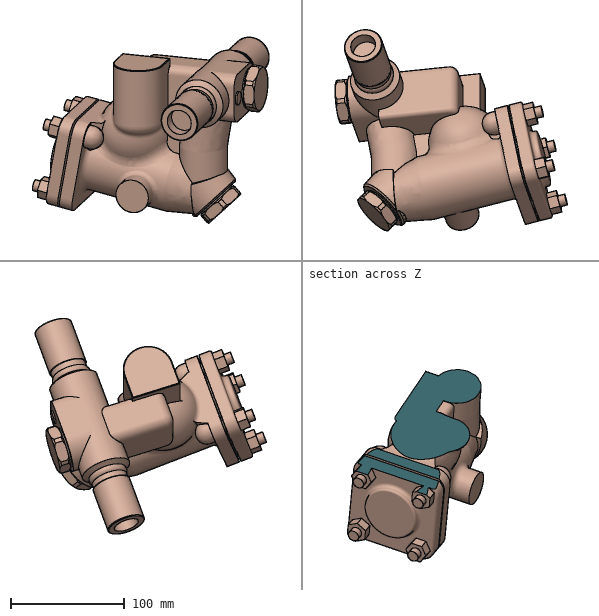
import cadquery as cq
import math

PIPE_END_Y = 100.0
PIPE_DIAMETER = 34.0
PIPE_CHAMFER = 0.7
BORE_DIAMETER = 22.2
BORE_DEPTH = 12.0
HUB_DIAMETER = 44.0
HUB_HALF_LENGTH = 44.5
HUB_CONE_END_Y = 47.7
BEAD_END_Y = 53.5
BEAD_DIAMETER = 34.8
NECK_DIAMETER = 32.0
NECK_END_Y = 59.1

HEX_STEP = 60.0

SAMPLE_POSITION = 0.37
TOUCH_TOLERANCE = 1e-3

SIDE_BOSS_END_X = 26.8
SIDE_BOSS_LOW_Y = -28.0
SIDE_BOSS_CORNER = 10.0
SIDE_PLUG_Y = 12.3
LOCATING_PIN_DIAMETER = 12.0
LOCATING_PIN_Y = -18.7
LOCATING_PIN_HEIGHT = 1.4

PLUG_ACROSS_FLATS = 38.0
PLUG_CORNER_DIAMETER = 41.8
PLUG_HEIGHT = 10.0
PLUG_EDGE = 1.6
WASHER_DIAMETER = 36.0
WASHER_THICKNESS = 1.6

BODY_Y = -8.2
BODY_TILT = 10.0
FLANGE_FACE_X = -135.1
FLANGE_FACE_Z = -67.6
FLANGE_SIZE = 83.0
FLANGE_CORNER = 12.5
FLANGE_THICKNESS = 11.5
FLANGE_ROUND = 2.0
GASKET_DIAMETER = 68.0
GASKET_THICKNESS = 1.7
FLANGE_STACK = 2 * FLANGE_THICKNESS + GASKET_THICKNESS
FLANGE_MIDDLE = FLANGE_STACK - FLANGE_THICKNESS / 2
BODY_DIAMETER = 57.0
BODY_LENGTH = 102.0
BODY_FOOT_ROUND = 5.0

COVER_DIAMETER = 50.0
COVER_HEIGHT = 6.0
COVER_EDGE_ROUND = 2.0
COVER_FOOT_ROUND = 3.2
BOLT_PITCH = 58.0
BOLT_DIAMETER = 10.0
BOLT_LENGTH = 15.3
NUT_ACROSS_FLATS = 17.0
NUT_HEIGHT = 9.0
STUD_BOSS_DIAMETER = 20.5
STUD_BOSS_LENGTH = 4.0
STUD_BOSS_ROUND = 10.05

DOME_X = -70.7
DOME_Z = -42.6
DOME_RADIUS = 32.4
DOME_FOOT_ROUND = 10.0

SHOULDER_LENGTH = 18.0
SHOULDER_END_HALF_WIDTH = 20.0
SHOULDER_ROUND = 4.0

PORT_X = -59.3
PORT_Z = -89.2
PORT_DIAMETER = 30.0
PORT_END_Y = -53.0
PORT_FOOT_ROUND = 4.5

TURRET_X = -62.9
TURRET_Y = -25.0
TURRET_RADIUS = 22.0
TURRET_BACK_Y = -3.0
TURRET_TOP_Z = 25.0
TURRET_BOTTOM_Z = -36.8
TURRET_BOTTOM_ROUND = 9.5
TURRET_FOOT_ROUND = 4.5
TURRET_CHAMFER = 0.7

ARM_LOW_X = -70.0
ARM_HIGH_X = 0.0
ARM_LOW_Y = -8.2
ARM_HIGH_Y = 28.0
ARM_TOP_Z = 18.7
ARM_BOTTOM_Z = -31.0
ARM_ROUND = 8.0
ARM_TOP_ROUND = 7.99
ARM_BOTTOM_ROUND = 4.0
ARM_CORNER_ROUND = 3.0

LEG_X = -8.1
LEG_DIAMETER = 42.4
LEG_BEND_Z = -50.4
ELBOW_Z = -87.5

SEAT_TILT = 45.0
SEAT_LENGTH = 16.2
SEAT_BACK_RADIUS = 26.5
SEAT_OVERLAP = 9.0
SEAT_MITRE_Z = -79.2
SEAT_MITRE_TILT = 17.0
SEAT_SEAM_HEIGHT = 34.0
SEAT_CLIP = 60.0
SEAT_RADIUS = 24.5
SEAT_EDGE = 1.5
ELBOW_NECK_X = -11.0
ELBOW_NECK_Z = -90.0
ELBOW_NECK_RADIUS = 23.4

RIB_HALF_WIDTH = 7.0
RIB_ROUND = 5.0
RIB_BOTTOM_Z = -70.0


def direction_down(tilt):
    """Unit vector pointing towards +X and downwards by the tilt angle."""
    angle = math.radians(tilt)
    return cq.Vector(math.cos(angle), 0, -math.sin(angle))


def flange_plane(offset=0.0):
    """Plane of the flange's outer face, moved outwards by the offset; local Y points up."""
    normal = direction_down(BODY_TILT) * -1
    origin = cq.Vector(FLANGE_FACE_X, BODY_Y, FLANGE_FACE_Z) + normal * offset
    return cq.Workplane(cq.Plane(origin, (0, -1, 0), normal))


def hex_plug(plane, hex_turn):
    """Washer and hexagon head whose corners are trimmed to a chamfered cylinder."""
    washer = cq.Workplane(plane).circle(WASHER_DIAMETER / 2).extrude(WASHER_THICKNESS)
    circumscribed = PLUG_ACROSS_FLATS / math.cos(math.radians(HEX_STEP / 2))
    head_plane = cq.Workplane(plane).workplane(offset=WASHER_THICKNESS)
    head = head_plane.transformed(rotate=(0, 0, hex_turn)).polygon(6, circumscribed).extrude(PLUG_HEIGHT)
    trim = head_plane.circle(PLUG_CORNER_DIAMETER / 2).extrude(PLUG_HEIGHT).edges().chamfer(PLUG_EDGE)
    return washer.union(head.intersect(trim))


def join_blended(first, second, radius, accept):
    """Union of two solids, rounding the curved edges they share whose centres are accepted."""
    joined = first.union(second)

    def lies_on_both(edge):
        sample = cq.Vertex.makeVertex(*edge.positionAt(SAMPLE_POSITION).toTuple())
        return all(
            min(face.distance(sample) for face in part.faces().vals()) < TOUCH_TOLERANCE
            for part in (first, second)
        )

    curved = joined.edges("not %LINE").vals()
    edges = [edge for edge in curved if accept(edge.Center()) and lies_on_both(edge)]
    return joined.newObject(edges).fillet(radius)


def foot_ring(plane, radius, round_radius):
    """Hollow-round foot where a cylinder of the given radius stands on the plane."""
    arc_offset = round_radius * (1 - math.sqrt(0.5))
    profile_plane = cq.Plane(plane.origin, plane.xDir, plane.yDir * -1)
    return (
        cq.Workplane(profile_plane)
        .lineTo(radius + round_radius, 0)
        .threePointArc((radius + arc_offset, arc_offset), (radius, round_radius))
        .lineTo(0, round_radius)
        .close()
        .revolve(360, (0, 0, 0), (0, 1, 0))
    )


def pipe():
    pipe_r = PIPE_DIAMETER / 2
    hub_r = HUB_DIAMETER / 2
    neck_r = NECK_DIAMETER / 2
    half = (
        cq.Workplane("XY")
        .lineTo(hub_r, 0)
        .lineTo(hub_r, HUB_HALF_LENGTH)
        .lineTo(pipe_r, HUB_CONE_END_Y)
        .threePointArc((BEAD_DIAMETER / 2, (HUB_CONE_END_Y + BEAD_END_Y) / 2), (neck_r, BEAD_END_Y))
        .lineTo(neck_r, NECK_END_Y)
        .lineTo(pipe_r, NECK_END_Y)
        .lineTo(pipe_r, PIPE_END_Y - PIPE_CHAMFER)
        .lineTo(pipe_r - PIPE_CHAMFER, PIPE_END_Y)
        .lineTo(BORE_DIAMETER / 2, PIPE_END_Y)
        .lineTo(BORE_DIAMETER / 2, PIPE_END_Y - BORE_DEPTH)
        .lineTo(0, PIPE_END_Y - BORE_DEPTH)
        .close()
        .revolve(360, (0, 0, 0), (0, 1, 0))
    )
    return half.union(half.mirror("XZ"))


def side_boss():
    """Boss with one half-round end and one rounded-square end, plus its plug and pin."""
    hub_r = HUB_DIAMETER / 2
    width = SIDE_PLUG_Y - SIDE_BOSS_LOW_Y
    square_end = (
        cq.Workplane("YZ")
        .center(SIDE_BOSS_LOW_Y + width / 2, 0)
        .rect(width, HUB_DIAMETER)
        .extrude(SIDE_BOSS_END_X)
        .edges("|X and <Y")
        .fillet(SIDE_BOSS_CORNER)
    )
    round_end = cq.Workplane("YZ").center(SIDE_PLUG_Y, 0).circle(hub_r).extrude(SIDE_BOSS_END_X)
    end_face = cq.Workplane("YZ", origin=(SIDE_BOSS_END_X, 0, 0))
    pin = end_face.center(LOCATING_PIN_Y, 0).circle(LOCATING_PIN_DIAMETER / 2).extrude(LOCATING_PIN_HEIGHT)
    plug_plane = cq.Plane((SIDE_BOSS_END_X, SIDE_PLUG_Y, 0), (0, 1, 0), (1, 0, 0))
    return square_end.union(round_end).union(pin).union(hex_plug(plug_plane, HEX_STEP / 2))


def body_and_dome():
    """Tilted cylinder with the dome on top, blended together, and the front port."""
    cylinder = flange_plane(-FLANGE_MIDDLE).circle(BODY_DIAMETER / 2).extrude(FLANGE_MIDDLE - BODY_LENGTH)
    dome = cq.Workplane("XY").sphere(DOME_RADIUS).translate((DOME_X, BODY_Y, DOME_Z))
    body = cylinder.union(dome)
    body = body.edges("%BSPLINE").fillet(DOME_FOOT_ROUND)
    port = (
        cq.Workplane("XZ", origin=(PORT_X, PORT_END_Y, PORT_Z))
        .circle(PORT_DIAMETER / 2)
        .extrude(PORT_END_Y - BODY_Y)
    )
    return join_blended(body, port, PORT_FOOT_ROUND, lambda centre: centre.y < BODY_Y)


def rounded_plate(offset):
    """Square plate with rounded corners whose outer face lies at the offset along the flange axis."""
    plate = flange_plane(offset).rect(FLANGE_SIZE, FLANGE_SIZE).extrude(-FLANGE_THICKNESS)
    normal = direction_down(BODY_TILT)
    return plate.edges(cq.selectors.ParallelDirSelector(normal)).fillet(FLANGE_CORNER)


def flange():
    """Cover plate with its disc, gasket, body flange and the hollow round towards the body."""
    outward = cq.selectors.DirectionMinMaxSelector(direction_down(BODY_TILT) * -1)
    cover = rounded_plate(0).faces(outward).edges().fillet(FLANGE_ROUND)
    disc = flange_plane().circle(COVER_DIAMETER / 2).extrude(COVER_HEIGHT)
    disc = disc.faces(outward).edges().fillet(COVER_EDGE_ROUND)
    foot = foot_ring(flange_plane().plane, COVER_DIAMETER / 2, COVER_FOOT_ROUND)
    gasket = flange_plane(-FLANGE_THICKNESS).circle(GASKET_DIAMETER / 2).extrude(-GASKET_THICKNESS)
    inner_plate = rounded_plate(-FLANGE_THICKNESS - GASKET_THICKNESS)
    back = flange_plane(-FLANGE_STACK).plane
    body_side = cq.Plane(back.origin, back.xDir, back.zDir * -1)
    body_foot = foot_ring(body_side, BODY_DIAMETER / 2, BODY_FOOT_ROUND)
    return cover.union(disc).union(foot).union(gasket).union(inner_plate).union(body_foot)


def bolts():
    """Stud ends and nuts at the four corners; neighbouring nuts are turned by half a hexagon step."""
    half = BOLT_PITCH / 2
    across_corners = NUT_ACROSS_FLATS / math.cos(math.radians(HEX_STEP / 2))
    stud_length = BOLT_LENGTH + FLANGE_STACK
    group = cq.Workplane("XY")
    for side in (-1, 1):
        for level in (-1, 1):
            spot = flange_plane().center(side * half, level * half)
            turn = HEX_STEP / 2 if side == level else 0
            nut = spot.transformed(rotate=(0, 0, turn)).polygon(6, across_corners).extrude(NUT_HEIGHT)
            stud = flange_plane(BOLT_LENGTH).center(side * half, level * half)
            stud = stud.circle(BOLT_DIAMETER / 2).extrude(-stud_length)
            group = group.union(nut).union(stud)
    return group


def stud_bosses():
    """Domed bosses behind the two upper corners of the body flange."""
    half = BOLT_PITCH / 2
    group = cq.Workplane("XY")
    radius = STUD_BOSS_DIAMETER / 2
    inward = cq.selectors.DirectionMinMaxSelector(direction_down(BODY_TILT))
    for side in (-1, 1):
        boss = flange_plane(-FLANGE_STACK).center(side * half, half)
        boss = boss.circle(radius).extrude(-STUD_BOSS_LENGTH - radius)
        group = group.union(boss.faces(inward).edges().fillet(STUD_BOSS_ROUND))
    return group


def turret():
    depth = TURRET_BACK_Y - TURRET_Y
    height = TURRET_TOP_Z - TURRET_BOTTOM_Z
    base = cq.Workplane("XY", origin=(TURRET_X, TURRET_Y, TURRET_BOTTOM_Z))
    outline = (
        base.moveTo(-TURRET_RADIUS, depth)
        .lineTo(-TURRET_RADIUS, 0)
        .threePointArc((0, -TURRET_RADIUS), (TURRET_RADIUS, 0))
        .lineTo(TURRET_RADIUS, depth)
        .close()
    )
    block = outline.extrude(height)
    block = block.faces("<Z").edges("not >Y").fillet(TURRET_BOTTOM_ROUND)
    return block.faces(">Z").edges().chamfer(TURRET_CHAMFER)


def arm():
    size = (ARM_HIGH_X - ARM_LOW_X, ARM_HIGH_Y - ARM_LOW_Y, ARM_TOP_Z - ARM_BOTTOM_Z)
    block = cq.Workplane("XY").box(*size, centered=False)
    block = block.translate((ARM_LOW_X, ARM_LOW_Y, ARM_BOTTOM_Z))
    block = block.edges("|Z and <X").fillet(ARM_ROUND)
    block = block.faces(">Z").edges("not >X").fillet(ARM_TOP_ROUND)
    return block.faces("<Z").edges("not (>X or <Y)").fillet(ARM_BOTTOM_ROUND)


def leg():
    """Leaning upper length between two horizontal circles, then a vertical length into the elbow."""
    radius = LEG_DIAMETER / 2
    bend = cq.Workplane("XY", origin=(LEG_X, BODY_Y, LEG_BEND_Z)).circle(radius)
    upper = bend.workplane(offset=-LEG_BEND_Z).center(-LEG_X, 0).circle(radius).loft(ruled=True)
    lower = cq.Workplane("XY", origin=(LEG_X, BODY_Y, ELBOW_Z)).circle(radius).extrude(LEG_BEND_Z - ELBOW_Z)
    return upper.union(lower)


def elbow():
    """Narrowing end of the body cylinder, the flared drain seat and its plug."""
    start = cq.Wire.makeCircle(
        BODY_DIAMETER / 2,
        cq.Vector(FLANGE_FACE_X, BODY_Y, FLANGE_FACE_Z) + direction_down(BODY_TILT) * BODY_LENGTH,
        direction_down(BODY_TILT),
    )
    neck = cq.Wire.makeCircle(
        ELBOW_NECK_RADIUS,
        cq.Vector(ELBOW_NECK_X, BODY_Y, ELBOW_NECK_Z),
        cq.Vector(1, 0, 0),
    )
    narrowing = cq.Workplane(cq.Solid.makeLoft([start, neck], True))
    axis = direction_down(SEAT_TILT)
    root = cq.Vector(LEG_X, BODY_Y, ELBOW_Z)
    back = root - axis * SEAT_OVERLAP
    cone = cq.Solid.makeCone(SEAT_BACK_RADIUS, SEAT_RADIUS, SEAT_LENGTH + SEAT_OVERLAP, back, axis)
    seat = cq.Workplane(cone)
    seat = seat.faces(cq.selectors.DirectionMinMaxSelector(axis)).edges().chamfer(SEAT_EDGE)
    mitre_rise = SEAT_CLIP * math.tan(math.radians(SEAT_MITRE_TILT))
    clip = (
        cq.Workplane("XZ", origin=(ELBOW_NECK_X, BODY_Y, SEAT_MITRE_Z))
        .lineTo(SEAT_CLIP, mitre_rise)
        .lineTo(SEAT_CLIP, -SEAT_CLIP)
        .lineTo(-SEAT_CLIP, -SEAT_CLIP)
        .lineTo(-SEAT_CLIP, -SEAT_SEAM_HEIGHT)
        .lineTo(0, -SEAT_SEAM_HEIGHT)
        .close()
        .extrude(SEAT_CLIP, both=True)
    )
    seat = seat.intersect(clip)
    plug_plane = cq.Plane(root + axis * SEAT_LENGTH, (0, 1, 0), axis)
    return narrowing.union(seat).union(hex_plug(plug_plane, HEX_STEP / 2))


def rib():
    """Web between dome and leg under the arm."""
    size = (LEG_X - DOME_X, 2 * RIB_HALF_WIDTH, ARM_BOTTOM_Z - RIB_BOTTOM_Z)
    block = cq.Workplane("XY").box(*size, centered=(False, True, False))
    block = block.edges("|X and >Z").fillet(RIB_ROUND)
    return block.translate((DOME_X, BODY_Y, RIB_BOTTOM_Z))


def shoulder_block(height):
    """Wedge from the body flange towards the dome, narrowing between the stud bosses."""
    return (
        flange_plane(-FLANGE_MIDDLE)
        .center(0, height / 2)
        .rect(BOLT_PITCH, height)
        .workplane(offset=-SHOULDER_LENGTH)
        .rect(2 * SHOULDER_END_HALF_WIDTH, height)
        .loft(ruled=True)
    )


def shoulder():
    """Flat filler level with the flange's top edge, with a hollow round where it meets the dome."""
    plane = flange_plane().plane
    top = FLANGE_SIZE / 2
    centre = cq.Vector(DOME_X, BODY_Y, DOME_Z)
    top_height = top - plane.toLocalCoords(centre).y
    round_height = top_height + SHOULDER_ROUND
    reach = math.sqrt((DOME_RADIUS + SHOULDER_ROUND) ** 2 - round_height**2)
    touch = DOME_RADIUS / (DOME_RADIUS + SHOULDER_ROUND)
    to_dome = math.atan2(-round_height, -reach)
    middle = (to_dome - math.pi / 2) / 2
    hollow = (
        cq.Workplane(cq.Plane(centre, plane.xDir, plane.zDir))
        .moveTo(0, top_height)
        .lineTo(reach, top_height)
        .threePointArc(
            (reach + SHOULDER_ROUND * math.cos(middle), round_height + SHOULDER_ROUND * math.sin(middle)),
            (reach * touch, round_height * touch),
        )
        .lineTo(0, round_height * touch)
        .close()
        .revolve(360, (0, 0, 0), (0, 1, 0))
    )
    hollow = hollow.intersect(shoulder_block(top + SHOULDER_ROUND))
    return shoulder_block(top).union(hollow)


def corner_fill():
    """Hollow round in the upright corner between the turret's back and the arm's end face."""
    size = ARM_CORNER_ROUND
    sag = size * (1 - math.sqrt(0.5))
    height = ARM_TOP_Z - ARM_ROUND - DOME_Z
    return (
        cq.Workplane("XY", origin=(ARM_LOW_X, TURRET_BACK_Y, DOME_Z))
        .lineTo(0, size)
        .threePointArc((-sag, sag), (-size, 0))
        .close()
        .extrude(height)
    )


result = join_blended(body_and_dome(), turret(), TURRET_FOOT_ROUND, lambda centre: centre.y < BODY_Y)
PARTS = (flange, shoulder, bolts, stud_bosses, arm, corner_fill, pipe, side_boss, leg, elbow, rib)
for make_part in PARTS:
    result = result.union(make_part())